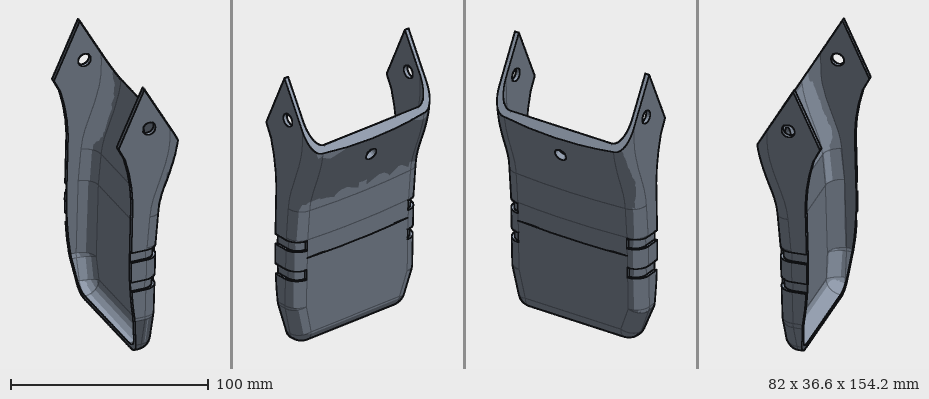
import cadquery as cq
import math

WIDTH = 82.0
HEIGHT = 154.2
HALF_WIDTH = WIDTH / 2

WALL = 2.5
BACK_WALL = 2.3
CORNER_RADIUS = 7.7
TOP_MARGIN = 15.4
STOCK_TOP = HEIGHT + TOP_MARGIN
STOCK_DEPTH = 61.7
STOCK_FRONT = 0.0

LEFT_CUT_HEIGHT = 19.6
LEFT_CUT_WIDTH = 7.1
RIGHT_CUT_HEIGHT = 22.7
RIGHT_CUT_WIDTH = 5.1

BACK_BOTTOM = (21.6, 0.0)
BACK_BEND = (23.3, 62.3)
BACK_SWEEP_START = (24.8, 79.7)
BACK_SWEEP_MIDDLE = (29.9, 97.5)
BACK_SWEEP_END = (35.3, 115.6)
BACK_TOP = (36.1, 135.7)

UPWARD = (0.0, 1.0)

EAR_APEX = (14.3, HEIGHT)
EAR_TIP = (0.0, 122.9)
EAR_BACK_ANGLE = 29.6
NECK_TOP = (3.7, 115.6)
NECK_MIDDLE = (6.3, 104.9)
NECK_BOTTOM = (7.9, 89.5)
BELLY_TOP = (7.0, 52.5)
BELLY_MIDDLE = (7.2, 41.6)
BELLY_BOTTOM = (8.2, 29.1)
RIM_BOTTOM = (12.0, 0.0)

CROWN_HEIGHT = 1.4
CROWN_HALF_WIDTH = HALF_WIDTH - CORNER_RADIUS
CROWN_BOTTOM = 51.5

GROOVE_DEPTH = 1.5
GROOVE_WIDTH = 5.7
GROOVE_BOTTOMS = (38.9, 55.8)

EAR_HOLE_DIAMETER = 7.0
EAR_HOLE_CENTER = (17.0, 131.0)
BACK_HOLE_DIAMETER = 6.6
BACK_HOLE_CENTER = (30.8, 106.0)
BACK_HOLE_TILT = 30.0
BACK_HOLE_REACH = 12.3


def direction(start, end):
    return (end[0] - start[0], end[1] - start[1])


def back_curve(inset=0.0):
    """Open YZ wire of the back face, moved forward by inset."""
    def moved(point):
        return (point[0] - inset, point[1])

    top = moved(BACK_TOP)
    rise = direction(BACK_BEND, BACK_SWEEP_START)
    return (
        cq.Workplane("YZ")
        .moveTo(*moved(BACK_BOTTOM))
        .lineTo(*moved(BACK_BEND))
        .lineTo(*moved(BACK_SWEEP_START))
        .spline(
            [moved(BACK_SWEEP_MIDDLE), moved(BACK_SWEEP_END), top],
            tangents=[rise, UPWARD],
            includeCurrent=True,
        )
        .lineTo(top[0], STOCK_TOP)
    )


def tray(side_inset, back_inset, radius):
    """Solid tray stock: front outline and back face moved inward, all corners rounded."""
    outline = (
        cq.Workplane("XZ")
        .moveTo(-HALF_WIDTH, STOCK_TOP + side_inset)
        .lineTo(-HALF_WIDTH, LEFT_CUT_HEIGHT)
        .lineTo(-HALF_WIDTH + LEFT_CUT_WIDTH, 0)
        .lineTo(HALF_WIDTH - RIGHT_CUT_WIDTH, 0)
        .lineTo(HALF_WIDTH, RIGHT_CUT_HEIGHT)
        .lineTo(HALF_WIDTH, STOCK_TOP + side_inset)
        .close()
    )
    if side_inset:
        outline = outline.offset2D(-side_inset, "intersection")
    stock = outline.extrude(-STOCK_DEPTH)
    lower_corners = cq.selectors.BoxSelector(
        (-WIDTH, STOCK_FRONT, -1.5), (WIDTH, STOCK_DEPTH, HEIGHT / 2))
    stock = stock.edges("|Y").edges(lower_corners).fillet(radius)
    ahead_of_back = (
        back_curve(back_inset)
        .lineTo(STOCK_FRONT, STOCK_TOP)
        .lineTo(STOCK_FRONT, 0)
        .close()
        .extrude(WIDTH)
        .translate((-HALF_WIDTH, 0, 0))
    )
    stock = stock.intersect(ahead_of_back)
    rear_edges = cq.selectors.BoxSelector(
        (-WIDTH, RIM_BOTTOM[0], -1.5), (WIDTH, STOCK_DEPTH, STOCK_TOP - 1.5))
    return stock.edges(rear_edges).fillet(radius)


def crown():
    """Shallow lens-shaped pad following the back face."""
    lens = (
        cq.Workplane("XY")
        .moveTo(-CROWN_HALF_WIDTH, BACK_BOTTOM[0])
        .threePointArc((0, BACK_BOTTOM[0] + CROWN_HEIGHT), (CROWN_HALF_WIDTH, BACK_BOTTOM[0]))
        .lineTo(CROWN_HALF_WIDTH, BACK_BOTTOM[0] - BACK_WALL / 2)
        .lineTo(-CROWN_HALF_WIDTH, BACK_BOTTOM[0] - BACK_WALL / 2)
        .close()
    )
    pad = lens.sweep(back_curve(), transition="right")
    above = cq.Workplane("XY", origin=(0, 0, CROWN_BOTTOM)).box(
        WIDTH, 2 * STOCK_DEPTH, HEIGHT, centered=(True, True, False))
    return pad.intersect(above)


def side_trim():
    """Prism of the side outline; its rear stays clear of the back face."""
    rear_drop = (STOCK_DEPTH - EAR_APEX[0]) / math.tan(math.radians(EAR_BACK_ANGLE))
    return (
        cq.Workplane("YZ")
        .moveTo(*RIM_BOTTOM)
        .lineTo(*BELLY_BOTTOM)
        .threePointArc(BELLY_MIDDLE, BELLY_TOP)
        .lineTo(*NECK_BOTTOM)
        .threePointArc(NECK_MIDDLE, NECK_TOP)
        .lineTo(*EAR_TIP)
        .lineTo(*EAR_APEX)
        .lineTo(STOCK_DEPTH, HEIGHT - rear_drop)
        .lineTo(STOCK_DEPTH, 0)
        .close()
        .extrude(WIDTH)
        .translate((-HALF_WIDTH, 0, 0))
    )


def grooves(outer):
    """Bands of the outer skin around both rear corners."""
    core = tray(GROOVE_DEPTH, GROOVE_DEPTH, CORNER_RADIUS - GROOVE_DEPTH)
    skin = outer.cut(core)
    corner_middle = HALF_WIDTH - CORNER_RADIUS / 2
    places = [(side * corner_middle, 0, bottom) for bottom in GROOVE_BOTTOMS for side in (-1, 1)]
    bands = cq.Workplane("XY").pushPoints(places).box(
        CORNER_RADIUS, 2 * STOCK_DEPTH, GROOVE_WIDTH, centered=(True, True, False))
    return skin.intersect(bands)


def ear_hole():
    return (
        cq.Workplane("YZ")
        .center(*EAR_HOLE_CENTER)
        .circle(EAR_HOLE_DIAMETER / 2)
        .extrude(WIDTH, both=True)
    )


def back_hole():
    tilt = math.radians(BACK_HOLE_TILT)
    axis = cq.Vector(0, math.cos(tilt), -math.sin(tilt))
    center = cq.Vector(0, *BACK_HOLE_CENTER)
    start = center - axis * (BACK_HOLE_REACH / 2)
    return cq.Workplane(cq.Solid.makeCylinder(BACK_HOLE_DIAMETER / 2, BACK_HOLE_REACH, start, axis))


outer = tray(0, 0, CORNER_RADIUS)
cavity = tray(WALL, BACK_WALL, CORNER_RADIUS)
shell = outer.union(crown()).cut(grooves(outer)).cut(cavity).intersect(side_trim())
result = shell.cut(ear_hole()).cut(back_hole())